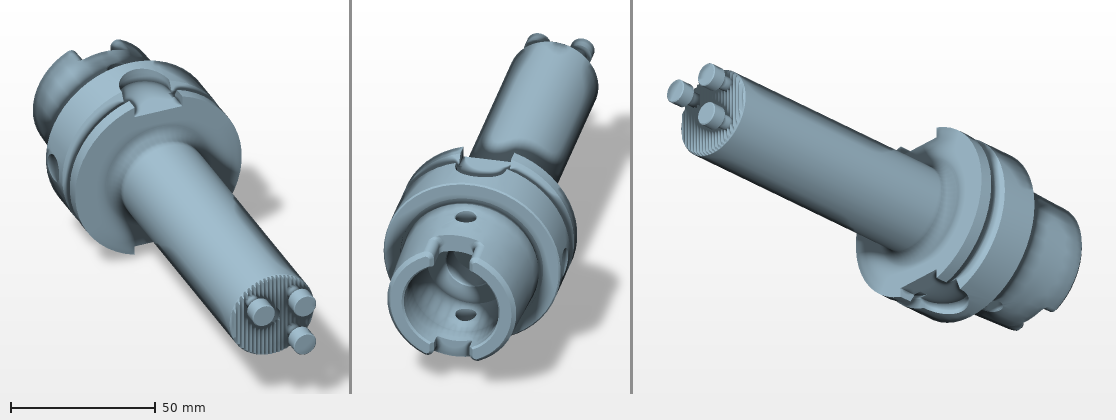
import cadquery as cq
import math

total_length = 167.3
x_mouth = -total_length / 2

taper_length = 30.1
taper_mouth_radius = 23.0
taper_end_radius = 24.3
mouth_chamfer = 1.3
undercut_radius = 24.0
undercut_length = 0.8
neck_radius = 23.6
face_relief_radius = 25.5
face_relief_depth = 0.5

slot_half_width = 6.4
slot_lip_radius = 2.5
slot_floor_fillet = 1.3
upper_slot_depth = 10.2
lower_slot_depth = 6.2

x_flange = x_mouth + 31.8
x_flange_back = x_mouth + 57.7
flange_radius = 63.0 / 2
flange_chamfer = 0.5
groove_floor_radius = 27.5
groove_front = 46.5
groove_floor_front = 48.2
groove_floor_back = 51.2
groove_back = 53.0
groove_wall_radius = 28.6

pocket_half_width = 9.0
pocket_length = 20.7
upper_pocket_floor = 26.3
lower_pocket_floor = 26.8

side_hole_radius = 5.0
side_hole_offset = 38.8
side_hole_depth = 4.7

access_hole_radius = 3.7
access_hole_offset = 22.8
access_hole_chamfer = 0.3

shank_radius = 32.0 / 2
shank_end_offset = 157.6
shank_chamfer_length = 1.5
shank_chamfer_height = 0.8
root_fillet = 4.0

serration_pitch = 1.5
serration_width = 1.3
serration_floor_width = 0.7
serration_depth = 1.3

bore_mouth_radius = 16.9
bore_floor_radius = 15.7
bore_mouth_chamfer = 0.7
bore_mouth_depth = 12.7
bore_depth = 30.1
counterbore_radius = 9.0
counterbore_depth = 40.2
coolant_radius = 3.0
bore_edge_chamfer = 0.3

screw_spacing = 15.5
screw_offset = screw_spacing / 2
screw_places = [
    (screw_offset, screw_offset),
    (-screw_offset, screw_offset),
    (screw_offset, -screw_offset),
]
screw_radius = 2.5
screw_head_radius = 8.5 / 2
screw_head_length = 5.0
screw_head_chamfer = 0.3
screw_insertion = 7.5

pick_margin = 0.2
rim_pick_margin = 1.7


def turned_body():
    """Taper, flange with its gripper groove, and shank, turned about X."""
    x_shank_end = x_mouth + shank_end_offset
    blend = root_fillet * (1 - math.sqrt(0.5))
    profile = (
        cq.Workplane("XY")
        .moveTo(x_mouth, 0)
        .lineTo(x_mouth, taper_mouth_radius)
        .lineTo(x_mouth + taper_length, taper_end_radius)
        .lineTo(x_mouth + taper_length, undercut_radius)
        .lineTo(x_mouth + taper_length + undercut_length, undercut_radius)
        .lineTo(x_flange + face_relief_depth, neck_radius)
        .lineTo(x_flange + face_relief_depth, face_relief_radius)
        .lineTo(x_flange, face_relief_radius)
        .lineTo(x_flange, flange_radius - flange_chamfer)
        .lineTo(x_flange + flange_chamfer, flange_radius)
        .lineTo(x_mouth + groove_front, flange_radius)
        .lineTo(x_mouth + groove_floor_front, groove_wall_radius)
        .lineTo(x_mouth + groove_floor_front, groove_floor_radius)
        .lineTo(x_mouth + groove_floor_back, groove_floor_radius)
        .lineTo(x_mouth + groove_floor_back, groove_wall_radius)
        .lineTo(x_mouth + groove_back, flange_radius)
        .lineTo(x_flange_back, flange_radius)
        .lineTo(x_flange_back, shank_radius + root_fillet)
        .threePointArc(
            (x_flange_back + blend, shank_radius + blend),
            (x_flange_back + root_fillet, shank_radius),
        )
        .lineTo(x_shank_end - shank_chamfer_length, shank_radius)
        .lineTo(x_shank_end, shank_radius - shank_chamfer_height)
        .lineTo(x_shank_end, 0)
        .close()
    )
    return profile.revolve(360, (0, 0, 0), (1, 0, 0))


def axial_bores():
    """Stepped bore from the taper mouth, with the coolant hole running out of the shank end."""
    profile = (
        cq.Workplane("XY")
        .moveTo(x_mouth, 0)
        .lineTo(x_mouth, bore_mouth_radius + bore_mouth_chamfer)
        .lineTo(x_mouth + bore_mouth_chamfer, bore_mouth_radius)
        .lineTo(x_mouth + bore_mouth_depth, bore_mouth_radius)
        .lineTo(x_mouth + bore_depth, bore_floor_radius)
        .lineTo(x_mouth + bore_depth, counterbore_radius)
        .lineTo(x_mouth + bore_depth + bore_edge_chamfer, counterbore_radius - bore_edge_chamfer)
        .lineTo(x_mouth + counterbore_depth, counterbore_radius - bore_edge_chamfer)
        .lineTo(x_mouth + counterbore_depth, coolant_radius + bore_edge_chamfer)
        .lineTo(x_mouth + counterbore_depth + bore_edge_chamfer, coolant_radius)
        .lineTo(x_mouth + shank_end_offset, coolant_radius)
        .lineTo(x_mouth + shank_end_offset, 0)
        .close()
    )
    return profile.revolve(360, (0, 0, 0), (1, 0, 0))


def drive_slot(depth, side):
    """Box cutter for the slot on the +Z or -Z side of the taper mouth."""
    height = 2 * taper_end_radius
    return (
        cq.Workplane("XY", origin=(x_mouth + depth / 2, 0, side * height / 2))
        .box(depth, 2 * slot_half_width, height)
    )


def slot_lip_selector(side_y, side_z):
    """Box round the outer edge of one slot wall, where that wall meets the taper."""
    lip_z = math.sqrt(taper_mouth_radius**2 - slot_half_width**2)
    x_middle = x_mouth + lower_slot_depth / 2
    reach = lower_slot_depth / 2 - pick_margin
    near = (x_middle - reach, side_y * slot_half_width - pick_margin, side_z * lip_z - reach)
    far = (x_middle + reach, side_y * slot_half_width + pick_margin, side_z * lip_z + reach)
    return cq.selectors.BoxSelector(near, far)


def slot_corner_selector(depth, side_y):
    """Box round the corner between a slot wall and the slot floor."""
    x_floor = x_mouth + depth
    near = (x_floor - pick_margin, side_y * slot_half_width - pick_margin, -taper_end_radius)
    far = (x_floor + pick_margin, side_y * slot_half_width + pick_margin, taper_end_radius)
    return cq.selectors.BoxSelector(near, far)


def key_pocket(floor, side):
    """Flat-floored pocket, round at its taper end and open toward the shank."""
    x_start = x_flange_back - pocket_length
    x_round = x_start + pocket_half_width
    profile = (
        cq.Workplane("XY", origin=(0, 0, side * floor))
        .moveTo(x_flange_back, -pocket_half_width)
        .lineTo(x_round, -pocket_half_width)
        .threePointArc((x_start, 0), (x_round, pocket_half_width))
        .lineTo(x_flange_back, pocket_half_width)
        .close()
    )
    return profile.extrude(side * (flange_radius - floor))


def side_hole():
    return (
        cq.Workplane("XZ", origin=(x_mouth + side_hole_offset, -flange_radius, 0))
        .circle(side_hole_radius)
        .extrude(-side_hole_depth)
    )


def cut_access_hole(holder):
    """Cut the hole through both taper walls and chamfer its outer rims."""
    x_hole = x_mouth + access_hole_offset
    hole = (
        cq.Workplane("XY", origin=(x_hole, 0, 0))
        .circle(access_hole_radius)
        .extrude(taper_end_radius, both=True)
    )
    holder = holder.cut(hole)
    reach = access_hole_radius
    for side in (-1, 1):
        z_rim = side * taper_end_radius
        near = (x_hole - reach, -reach, z_rim - rim_pick_margin)
        far = (x_hole + reach, reach, z_rim + rim_pick_margin)
        rim = cq.selectors.BoxSelector(near, far)
        holder = holder.edges(rim).chamfer(access_hole_chamfer)
    return holder


def serrations():
    """Tapered grooves across the whole shank end, one of them on the axis."""
    x_end = x_mouth + shank_end_offset
    count = math.floor(shank_radius / serration_pitch)
    grooves = cq.Workplane("XY")
    for index in range(-count, count + 1):
        y = index * serration_pitch
        grooves = grooves.add(
            cq.Workplane("XY", origin=(x_end, y, 0))
            .moveTo(0, -serration_width / 2)
            .lineTo(-serration_depth, -serration_floor_width / 2)
            .lineTo(-serration_depth, serration_floor_width / 2)
            .lineTo(0, serration_width / 2)
            .close()
            .extrude(shank_radius, both=True)
        )
    return grooves.combine()


def screw_shank(y, z):
    """Plain cylinder that is both a screw's shank and its hole in the holder."""
    x_start = x_mouth + shank_end_offset - screw_insertion
    length = x_mouth + total_length - screw_head_length - x_start
    return cq.Workplane("YZ", origin=(x_start, y, z)).circle(screw_radius).extrude(length)


def build_screw(y, z):
    x_head = x_mouth + total_length - screw_head_length
    head = (
        cq.Workplane("YZ", origin=(x_head, y, z))
        .circle(screw_head_radius)
        .extrude(screw_head_length)
        .faces(">X")
        .edges()
        .chamfer(screw_head_chamfer)
    )
    return screw_shank(y, z).union(head)


def build_holder():
    holder = turned_body()
    holder = holder.cut(drive_slot(upper_slot_depth, 1))
    holder = holder.cut(drive_slot(lower_slot_depth, -1))
    for side_y in (-1, 1):
        for side_z in (-1, 1):
            holder = holder.edges(slot_lip_selector(side_y, side_z)).fillet(slot_lip_radius)
    for depth in (upper_slot_depth, lower_slot_depth):
        for side_y in (-1, 1):
            holder = holder.edges(slot_corner_selector(depth, side_y)).fillet(slot_floor_fillet)
    holder = holder.faces("<X").edges().chamfer(mouth_chamfer)
    holder = holder.cut(axial_bores())
    for floor, side in ((upper_pocket_floor, 1), (lower_pocket_floor, -1)):
        holder = holder.cut(key_pocket(floor, side))
    holder = holder.cut(side_hole()).cut(serrations())
    for y, z in screw_places:
        holder = holder.cut(screw_shank(y, z))
    return cut_access_hole(holder)


holder = build_holder()
screws = [build_screw(y, z) for y, z in screw_places]

result = cq.Compound.makeCompound([holder.val(), *[screw.val() for screw in screws]])